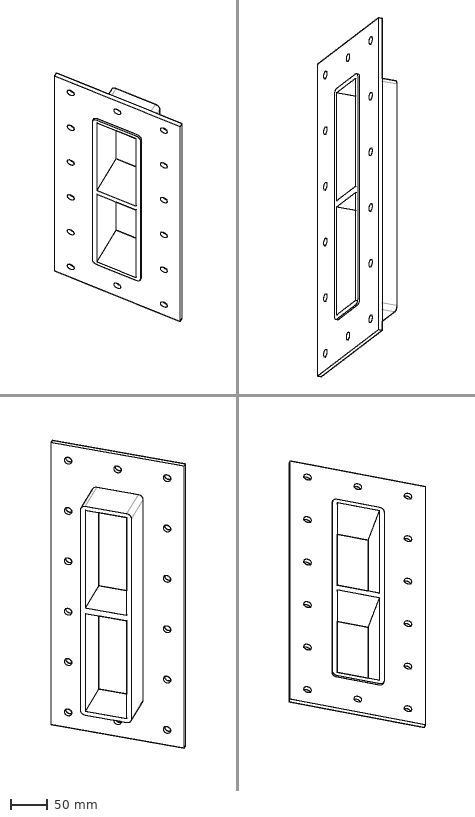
import cadquery as cq

plate_width = 192.5
plate_height = 461.0
plate_thickness = 6.0

sleeve_width = 73.8
sleeve_height = 341.0
sleeve_depth = 60.0
sleeve_corner_radius = 7.0
front_projection = 2.8

side_wall = 7.0
opening_width = sleeve_width - 2 * side_wall
end_wall = 6.5
divider_thickness = 9.0
opening_height = (sleeve_height - 2 * end_wall - divider_thickness) / 2
opening_offset = (opening_height + divider_thickness) / 2

hole_diameter = 10.5
hole_edge_distance = 25.0
hole_rows = 6
hole_x = plate_width / 2 - hole_edge_distance
hole_z = plate_height / 2 - hole_edge_distance
hole_pitch = 2 * hole_z / (hole_rows - 1)


def block(width, depth, height, front_y, center_z=0):
    """Box centred on X, extending toward +Y from front_y."""
    return (
        cq.Workplane("XY")
        .box(width, depth, height, centered=(True, False, True))
        .translate((0, front_y, center_z))
    )


def bolt_holes():
    """Two side columns of holes plus one at the middle of each short edge."""
    points = [(0, -hole_z), (0, hole_z)]
    for row in range(hole_rows):
        z = -hole_z + row * hole_pitch
        points += [(-hole_x, z), (hole_x, z)]
    return (
        cq.Workplane("XZ")
        .pushPoints(points)
        .circle(hole_diameter / 2)
        .extrude(-plate_thickness)
    )


plate = block(plate_width, plate_thickness, plate_height, 0).cut(bolt_holes())
sleeve = block(sleeve_width, sleeve_depth, sleeve_height, -front_projection)
sleeve = sleeve.edges("|Y").fillet(sleeve_corner_radius)

result = plate.union(sleeve)
for z in (-opening_offset, opening_offset):
    result = result.cut(block(opening_width, sleeve_depth, opening_height, -front_projection, z))